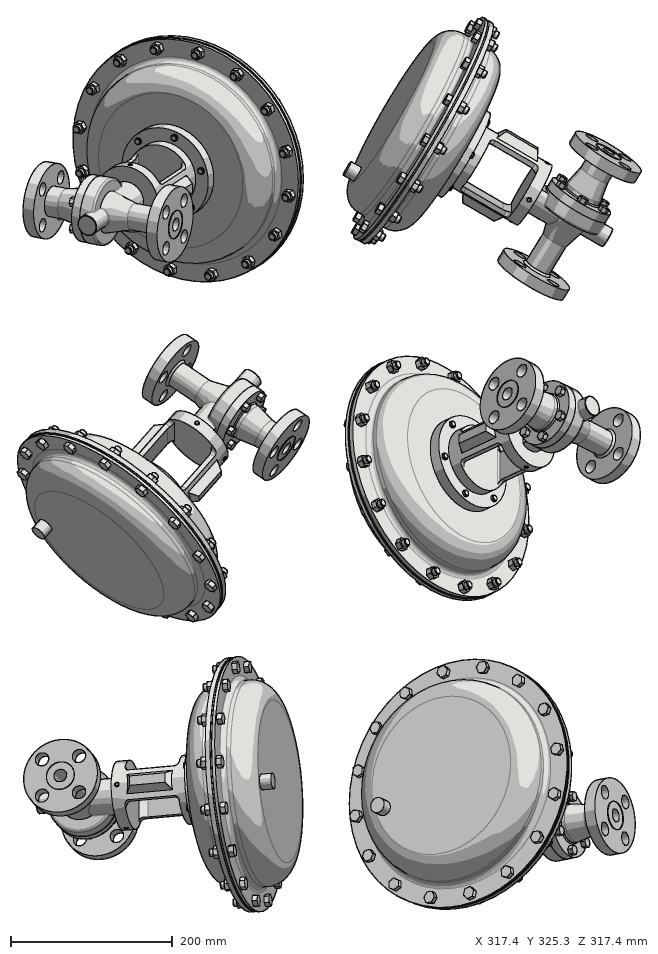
import cadquery as cq
import math


flange_radius = 158.7
flange_lower_radius = 158.0
gasket_radius = 157.5
flange_bottom_y = 204.0
lower_flange_thickness = 6.2
upper_flange_thickness = 4.2
gasket_thickness = 2.0
casing_depth = 39.5
casing_radius = 128.5
casing_round = 27.3
casing_root_fillet = 6.5

casing_bolt_count = 16
casing_bolt_circle = 147.7
casing_bolt_angle = 82.5
nut_lead_angle = 7.5
head_lead_angle = 22.5
hex_corner_radius = 7.8
bolt_head_height = 6.5
nut_height = 7.5
stud_radius = 5.0
stud_length = 13.3
stud_chamfer = 1.0

port_x = 84.0
port_z = -28.5
port_radius = 9.8
port_top_y = 270.3

plate_radius = 60.5
plate_bottom_y = 150.0
plate_screw_count = 6
plate_screw_circle = 52.7
plate_screw_angle = 75
plate_screw_radius = 4.2
plate_screw_height = 3.3
plate_screw_chamfer = 1.0

yoke_radius = 43.0
yoke_bottom_y = 50.7
window_bottom_y = 66.5
window_top_y = 135.5
window_half_width = 32.0
window_foot_rise = 10.5
window_foot_depth = 3.3
window_top_round = 2.0
leg_half_depth = 19.5
leg_fillet = 6.0
pad_middle_y = 100.0
pad_outer_x = 52.7
pad_root_x = 41.0
pad_root_length = 58.5
pad_root_width = 25.5
pad_inset = 6.5
set_screw_y = 58.2
set_screw_radius = 3.0
set_screw_reach = 44.0
set_screw_depth = 3.3
set_screw_chamfer = 1.0

neck_radius = 22.8
neck_flat_x = -14.0
stub_radius = 13.0
stub_bottom_y = -55.0
stub_chamfer = 0.5
stem_blend_fillet = 1.0

end_face_x = 95.0
raised_face_radius = 18.0
raised_face_height = 1.0
pipe_flange_radius = 47.5
pipe_flange_thickness = 15.0
left_pipe_radius = 19.2
left_cone_start_x = -60.5
left_cone_end_x = -35.0
left_cone_radius = 24.0
cover_collar_width = 1.5
cover_left_x = -28.5
cover_right_x = -17.2
cover_radius = 42.3
body_right_x = 1.3
body_radius = 42.5
body_edge_fillet = 2.5
right_pipe_radius = 16.5
right_cone_radius = 26.7
right_cone_end_x = 35.8
hub_width = 3.0
hub_rise = 2.5
bore_radius = 8.0
bore_depth = 65.0
pipe_hole_radius = 8.5
pipe_hole_offset = 23.7
cover_bolt_count = 6
cover_bolt_circle = 34.8
cover_bolt_corner_radius = 6.2
cover_bolt_height = 6.5

gasket_bottom_y = flange_bottom_y + lower_flange_thickness
gasket_top_y = gasket_bottom_y + gasket_thickness
flange_top_y = gasket_top_y + upper_flange_thickness
casing_bottom_y = flange_bottom_y - casing_depth
casing_top_y = flange_top_y + casing_depth
window_height = window_top_y - window_bottom_y
window_middle_y = (window_top_y + window_bottom_y) / 2
flange_inner_x = end_face_x - raised_face_height - pipe_flange_thickness


def y_rod(x, z, radius, y_low, y_high):
    """Round rod along Y between two levels."""
    rod = cq.Workplane("XZ", origin=(x, y_high, z)).circle(radius)
    return rod.extrude(y_high - y_low)


def y_hex(x, z, corner_radius, y_low, y_high, corner_angle):
    """Hexagonal prism along Y with one corner at corner_angle degrees from +X toward +Z."""
    prism = cq.Workplane("XZ").polygon(6, 2 * corner_radius).extrude(y_low - y_high)
    prism = prism.rotate((0, 0, 0), (0, 1, 0), -corner_angle)
    return prism.translate((x, y_low, z))


def circle_places(count, radius, start_angle):
    """Angle in degrees and the two coordinates of each place on a bolt circle."""
    places = []
    for index in range(count):
        angle = start_angle + index * 360 / count
        turn = math.radians(angle)
        places.append((angle, radius * math.cos(turn), radius * math.sin(turn)))
    return places


def make_casing():
    """Two dished casing halves with rims that clamp a slightly recessed gasket."""
    flat_radius = casing_radius - casing_round
    root_radius = casing_radius + casing_root_fillet
    diagonal = math.sqrt(0.5)
    dish_mid_radius = flat_radius + casing_round * diagonal
    dish_mid_drop = casing_round * (1 - diagonal)
    root_mid = casing_root_fillet * (1 - diagonal)
    profile = (
        cq.Workplane("XY")
        .moveTo(0, casing_bottom_y)
        .lineTo(flat_radius, casing_bottom_y)
        .threePointArc(
            (dish_mid_radius, casing_bottom_y + dish_mid_drop),
            (casing_radius, casing_bottom_y + casing_round),
        )
        .lineTo(casing_radius, flange_bottom_y - casing_root_fillet)
        .threePointArc(
            (casing_radius + root_mid, flange_bottom_y - root_mid),
            (root_radius, flange_bottom_y),
        )
        .lineTo(flange_lower_radius, flange_bottom_y)
        .lineTo(flange_lower_radius, gasket_bottom_y)
        .lineTo(gasket_radius, gasket_bottom_y)
        .lineTo(gasket_radius, gasket_top_y)
        .lineTo(flange_lower_radius, gasket_top_y)
        .lineTo(flange_radius, flange_top_y)
        .lineTo(root_radius, flange_top_y)
        .threePointArc(
            (casing_radius + root_mid, flange_top_y + root_mid),
            (casing_radius, flange_top_y + casing_root_fillet),
        )
        .lineTo(casing_radius, casing_top_y - casing_round)
        .threePointArc(
            (dish_mid_radius, casing_top_y - dish_mid_drop),
            (flat_radius, casing_top_y),
        )
        .lineTo(0, casing_top_y)
        .close()
    )
    return profile.revolve(360, (0, 0, 0), (0, 1, 0))


def add_casing_bolts(part):
    """Hex heads above the rim, nuts and stud ends below it."""
    head_top_y = flange_top_y + bolt_head_height
    nut_bottom_y = flange_bottom_y - nut_height
    for angle, x, z in circle_places(casing_bolt_count, casing_bolt_circle, casing_bolt_angle):
        head = y_hex(x, z, hex_corner_radius, flange_top_y, head_top_y, angle + head_lead_angle)
        nut = y_hex(x, z, hex_corner_radius, nut_bottom_y, flange_bottom_y, angle + nut_lead_angle)
        stud = y_rod(x, z, stud_radius, flange_bottom_y - stud_length, flange_bottom_y)
        stud = stud.faces("<Y").chamfer(stud_chamfer)
        part = part.union(head).union(nut.union(stud))
    return part


def make_plate():
    """Round mounting plate with its ring of screw heads."""
    plate = y_rod(0, 0, plate_radius, plate_bottom_y, casing_bottom_y)
    for _, x, z in circle_places(plate_screw_count, plate_screw_circle, plate_screw_angle):
        screw = y_rod(x, z, plate_screw_radius, plate_bottom_y - plate_screw_height, plate_bottom_y)
        plate = plate.union(screw.faces("<Y").chamfer(plate_screw_chamfer))
    return plate


def make_yoke():
    """Cylinder opened to two legs, with tapered side pads and four set screws."""
    yoke = y_rod(0, 0, yoke_radius, yoke_bottom_y, plate_bottom_y)

    foot_half_width = window_half_width - window_foot_depth
    foot_mid = (window_half_width - window_foot_depth / 4, window_bottom_y + window_foot_rise / 2)
    window = (
        cq.Workplane("XY")
        .moveTo(-foot_half_width, window_bottom_y)
        .lineTo(foot_half_width, window_bottom_y)
        .threePointArc(foot_mid, (window_half_width, window_bottom_y + window_foot_rise))
        .lineTo(window_half_width, window_top_y)
        .lineTo(-window_half_width, window_top_y)
        .lineTo(-window_half_width, window_bottom_y + window_foot_rise)
        .threePointArc((-foot_mid[0], foot_mid[1]), (-foot_half_width, window_bottom_y))
        .close()
        .extrude(yoke_radius, both=True)
        .edges("|Z and >Y")
        .fillet(window_top_round)
    )
    yoke = yoke.cut(window)

    trim_depth = yoke_radius
    for side in (1, -1):
        trim = (
            cq.Workplane("XY")
            .box(2 * yoke_radius, window_height, trim_depth)
            .translate((0, window_middle_y, side * (leg_half_depth + trim_depth / 2)))
            .edges("|X")
            .edges("<Z" if side > 0 else ">Z")
            .fillet(leg_fillet)
        )
        yoke = yoke.cut(trim)

    pad = (
        cq.Workplane("YZ", origin=(pad_root_x, pad_middle_y, 0))
        .rect(pad_root_length, pad_root_width)
        .workplane(offset=pad_outer_x - pad_root_x)
        .rect(pad_root_length - 2 * pad_inset, pad_root_width - 2 * pad_inset)
        .loft()
    )
    yoke = yoke.union(pad).union(pad.mirror("YZ"))

    set_screw_base = yoke_radius - set_screw_depth
    set_screw = (
        cq.Workplane("YZ", origin=(set_screw_base, set_screw_y, 0))
        .circle(set_screw_radius)
        .extrude(set_screw_reach - set_screw_base)
        .faces(">X")
        .chamfer(set_screw_chamfer)
    )
    for turn in (0, 90, 180, 270):
        yoke = yoke.union(set_screw.rotate((0, 0, 0), (0, 1, 0), turn))
    return yoke


def make_valve_body():
    """Turned body along X with the pipe flanges, cones, cover and ball housing."""
    flange_face_x = end_face_x - raised_face_height
    hub_start_x = flange_inner_x - hub_width
    collar_start_x = cover_left_x - cover_collar_width
    rim_mid = body_edge_fillet * (1 - math.sqrt(0.5))
    left_outline = [
        (-end_face_x, 0),
        (-end_face_x, raised_face_radius),
        (-flange_face_x, raised_face_radius),
        (-flange_face_x, pipe_flange_radius),
        (-flange_inner_x, pipe_flange_radius),
        (-flange_inner_x, left_pipe_radius),
        (left_cone_start_x, left_pipe_radius),
        (left_cone_end_x, left_cone_radius),
        (collar_start_x, left_cone_radius),
        (cover_left_x, left_cone_radius + cover_collar_width),
        (cover_left_x, cover_radius),
        (cover_right_x, cover_radius),
        (cover_right_x, body_radius),
        (body_right_x - body_edge_fillet, body_radius),
    ]
    right_outline = [
        (body_right_x, right_cone_radius),
        (right_cone_end_x, right_pipe_radius),
        (hub_start_x, right_pipe_radius),
        (flange_inner_x, right_pipe_radius + hub_rise),
        (flange_inner_x, pipe_flange_radius),
        (flange_face_x, pipe_flange_radius),
        (flange_face_x, raised_face_radius),
        (end_face_x, raised_face_radius),
        (end_face_x, 0),
    ]
    body = (
        cq.Workplane("XY")
        .polyline(left_outline)
        .threePointArc(
            (body_right_x - rim_mid, body_radius - rim_mid),
            (body_right_x, body_radius - body_edge_fillet),
        )
        .polyline(right_outline, includeCurrent=True)
        .close()
        .revolve(360, (0, 0, 0), (1, 0, 0))
    )

    cover_bolts = (
        cq.Workplane("YZ", origin=(cover_left_x, 0, 0))
        .polarArray(cover_bolt_circle, 90, 360, cover_bolt_count, rotate=False)
        .polygon(6, 2 * cover_bolt_corner_radius)
        .extrude(-cover_bolt_height)
    )
    return body.union(cover_bolts)


def make_stem():
    """Neck up to the yoke, flattened beside the cover, and the stub below the body."""
    neck = y_rod(0, 0, neck_radius, 0, yoke_bottom_y)
    beside_cover = cq.Workplane("XY").box(neck_radius, 2 * yoke_bottom_y, 2 * neck_radius)
    neck = neck.cut(beside_cover.translate((neck_flat_x - neck_radius / 2, yoke_bottom_y, 0)))
    stub = y_rod(0, 0, stub_radius, stub_bottom_y, 0)
    return neck.union(stub.faces("<Y").chamfer(stub_chamfer))


def blend_stem(part):
    """Small fillets where the neck and the stub meet the body."""
    margin = 0.5
    highest_y = body_radius + margin
    lowest_y = -highest_y
    for radius, low_y, high_y in ((stub_radius, lowest_y, 0), (neck_radius, 0, highest_y)):
        reach = radius + margin
        seam_box = cq.selectors.BoxSelector((-reach, low_y, -reach), (reach, high_y, reach), boundingbox=True)
        part = part.edges(seam_box).fillet(stem_blend_fillet)
    return part


def cut_pipe_holes(part):
    """Four bolt holes in each pipe flange and a blind bore from each end."""
    hole_spacing = 2 * pipe_hole_offset
    for end in (-1, 1):
        end_plane = cq.Workplane("YZ", origin=(end * end_face_x, 0, 0))
        holes = end_plane.rect(hole_spacing, hole_spacing, forConstruction=True).vertices()
        holes = holes.circle(pipe_hole_radius).extrude(-end * (end_face_x - flange_inner_x))
        bore = end_plane.circle(bore_radius).extrude(-end * bore_depth)
        part = part.cut(holes).cut(bore)
    return part


actuator = add_casing_bolts(make_casing())
air_port = y_rod(port_x, port_z, port_radius, casing_top_y, port_top_y)
valve = cut_pipe_holes(blend_stem(make_valve_body().union(make_stem())))
result = actuator.union(air_port).union(make_plate()).union(make_yoke()).union(valve)